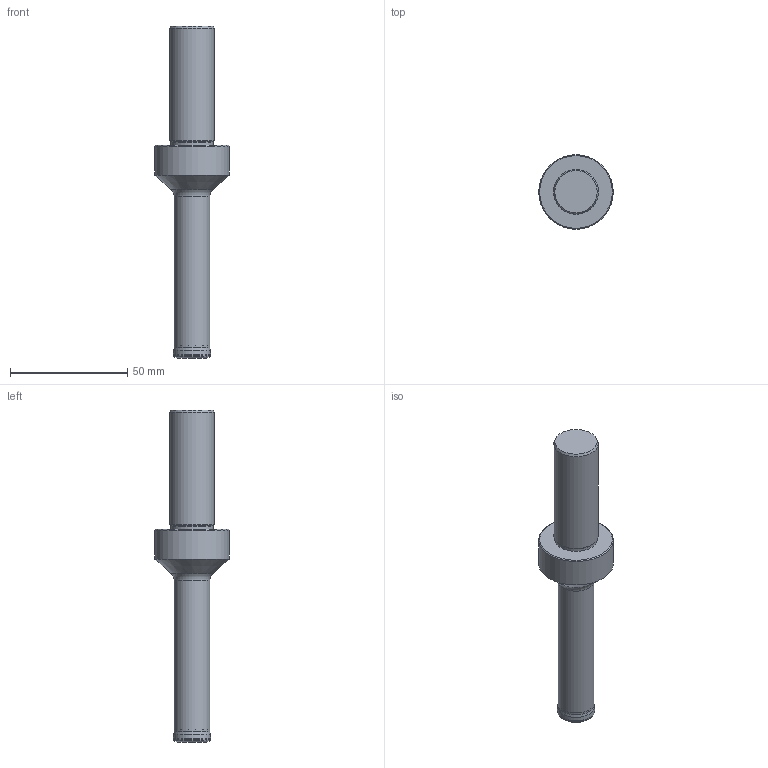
import cadquery as cq
import math

total_height = 141.41

shank_radius = 19.05 / 2
shank_bottom = 92.5
shank_chamfer_height = 1.0
shank_chamfer_depth = 0.5

neck_radius = 9.0
neck_bevel_radius = 9.2
neck_bevel_bottom = 92.3
neck_top = 91.9

collar_radius = 31.75 / 2
collar_top = 90.6
collar_height = 12.7
collar_chamfer = 0.4
collar_bottom = collar_top - collar_height

stem_radius = 15.24 / 2
cone_angle = math.radians(49)
cone_fillet_radius = 4.1
cone_low_radius = stem_radius + cone_fillet_radius * (1 - math.cos(cone_angle))
cone_low = collar_bottom - (collar_radius - cone_low_radius) / math.tan(cone_angle)
stem_top = cone_low - cone_fillet_radius * math.sin(cone_angle)

tip_radius = 15.875 / 2
band_top = 3.2
band_bottom = 1.4
band_angle = math.radians(3)
band_top_radius = tip_radius - (band_top - band_bottom) * math.tan(band_angle)
stem_bottom = 4.35
tip_head_top = 5.2
flare_slope = (band_top_radius - stem_radius) / (stem_bottom - band_top)
tip_head_radius = stem_radius - flare_slope * (tip_head_top - stem_bottom)
back_taper_bottom = 0.9
back_taper_radius = tip_radius - (band_bottom - back_taper_bottom) * math.tan(band_angle)
end_edge_height = 0.55
end_edge_radius = 7.8
end_face_radius = 6.3


def revolve_profile(profile):
    """Close a half profile drawn in X and Z and turn it about the Z axis."""
    return profile.close().revolve(360, (0, 0), (0, 1))


def make_arbor():
    """Shank, neck, collar, cone and stem, with a tapered socket for the tip."""
    half_angle = cone_angle / 2
    fillet_middle = (
        stem_radius + cone_fillet_radius * (1 - math.cos(half_angle)),
        stem_top + cone_fillet_radius * math.sin(half_angle),
    )
    return revolve_profile(
        cq.Workplane("XZ")
        .moveTo(0, tip_head_top)
        .lineTo(tip_head_radius, tip_head_top)
        .lineTo(stem_radius, stem_bottom)
        .lineTo(stem_radius, stem_top)
        .threePointArc(fillet_middle, (cone_low_radius, cone_low))
        .lineTo(collar_radius, collar_bottom)
        .lineTo(collar_radius, collar_top - collar_chamfer)
        .lineTo(collar_radius - collar_chamfer, collar_top)
        .lineTo(neck_radius, collar_top)
        .lineTo(neck_radius, neck_top)
        .lineTo(neck_bevel_radius, neck_bevel_bottom)
        .lineTo(shank_radius, shank_bottom)
        .lineTo(shank_radius, total_height - shank_chamfer_height)
        .lineTo(shank_radius - shank_chamfer_depth, total_height)
        .lineTo(0, total_height)
    )


def make_tip():
    """Tapered head, flared band, slight back taper and a shallow conical end."""
    return revolve_profile(
        cq.Workplane("XZ")
        .moveTo(0, tip_head_top)
        .lineTo(tip_head_radius, tip_head_top)
        .lineTo(band_top_radius, band_top)
        .lineTo(tip_radius, band_bottom)
        .lineTo(back_taper_radius, back_taper_bottom)
        .lineTo(end_edge_radius, end_edge_height)
        .lineTo(end_face_radius, 0)
        .lineTo(0, 0)
    )


arbor = make_arbor()
tip = make_tip()
result = cq.Compound.makeCompound([arbor.val(), tip.val()])